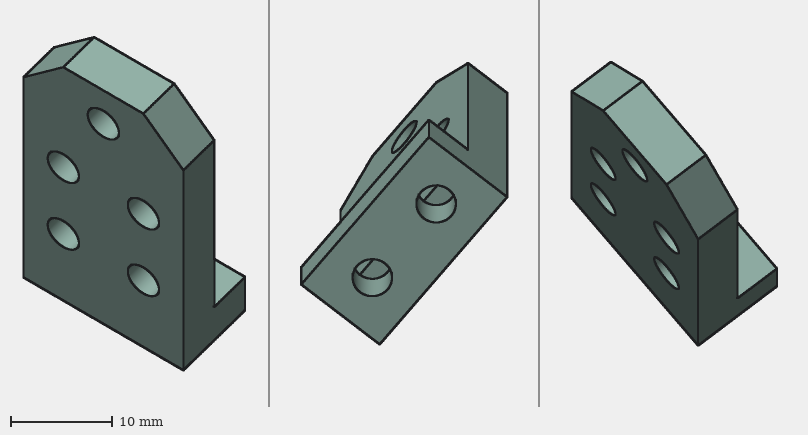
import cadquery as cq

WIDTH = 20.0
DEPTH = 10.0
HEIGHT = 35.0

PLATE_THICKNESS = 5.0
FOOT_HEIGHT = 5.0

CORNER_CUT = 5.0

HOLE_DIAMETER = 3.9
HOLE_PITCH = 10.0
HOLE_COLUMNS = (-HOLE_PITCH / 2, HOLE_PITCH / 2)
LOWEST_ROW_Z = 10.0
PAIRED_ROWS = 2
PLATE_HOLES = [
    (x, LOWEST_ROW_Z + row * HOLE_PITCH) for row in range(PAIRED_ROWS) for x in HOLE_COLUMNS
]
PLATE_HOLES.append((0, LOWEST_ROW_Z + PAIRED_ROWS * HOLE_PITCH))


def make_body():
    """L-shaped bracket: upright plate with its front face at Y = 0 and a foot behind it."""
    section = [
        (0, 0),
        (DEPTH, 0),
        (DEPTH, FOOT_HEIGHT),
        (PLATE_THICKNESS, FOOT_HEIGHT),
        (PLATE_THICKNESS, HEIGHT),
        (0, HEIGHT),
    ]
    body = cq.Workplane("YZ").polyline(section).close().extrude(WIDTH / 2, both=True)
    return body.edges("|Y and >Z").chamfer(CORNER_CUT)


def make_plate_holes():
    """Cylinders running front to back through the plate."""
    return cq.Workplane("XZ").pushPoints(PLATE_HOLES).circle(HOLE_DIAMETER / 2).extrude(-PLATE_THICKNESS)


def make_foot_holes():
    """Vertical cylinders as deep as the foot, centred on the plane of the plate's back face."""
    centres = [(x, PLATE_THICKNESS) for x in HOLE_COLUMNS]
    return cq.Workplane("XY").pushPoints(centres).circle(HOLE_DIAMETER / 2).extrude(FOOT_HEIGHT)


result = make_body().cut(make_plate_holes()).cut(make_foot_holes())